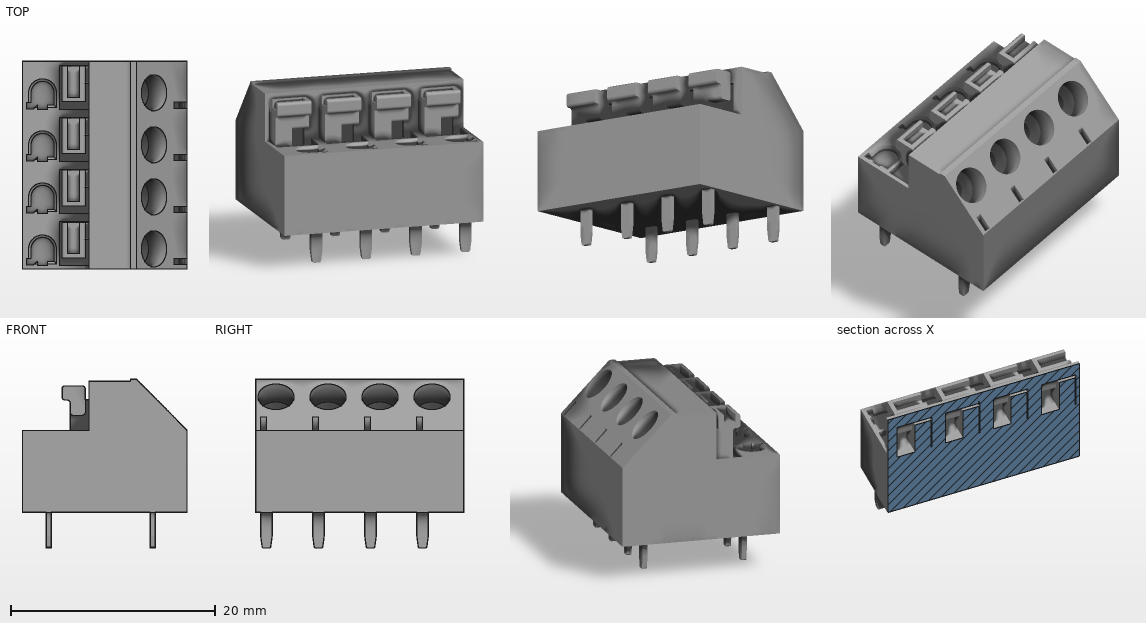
import cadquery as cq
import math

pole_count = 4
pitch = 5.08
block_depth = 16.1
block_width = pole_count * pitch
ledge_height = 8.0
roof_height = 12.8
rib_height = 13.0
step_x = 6.5
rib_x = 10.55
slope_top_x = 11.15

button_front_x = 3.88
button_rear_x = 6.15
button_top_z = 12.35
button_bottom_z = 9.47
hook_bottom_z = 10.95
button_round = 0.3
button_near_y = 0.50
button_far_y = 3.97
dish_front_x = 4.42
dish_rear_x = 5.58
dish_far_y = 3.54
dish_depth = 0.8

stem_front_x = 4.66
stem_top_z = 11.0
stem_far_y = 2.2

recess_depth = 0.7
recess_front_x = 3.64
recess_near_y = 0.42
recess_far_y = 4.73
slot_depth = 0.58
slot_far_y = 4.05
slot_top_z = 11.33

arch_x = 1.98
arch_y = 3.10
arch_radius = 1.36
arch_chamfer = 0.24
arch_end_y = 4.55
chamfer_angle = 45
arch_pocket_depth = 0.6
centre_notch_x = 1.49
centre_notch_length = 0.98
centre_notch_end_y = 4.73
side_notch_x = 0.39
side_notch_y = 4.04
side_notch_end_y = 4.67
side_notch_end_x = 1.08

entry_diameter = 3.52
bore_diameter = 2.02
entry_x = 12.86
entry_depth = 2.5
entry_cone_depth = 0.75
bore_depth = 2.0

probe_front_x = 14.82
probe_floor_end_x = 15.3
probe_rim_x = 15.86
probe_floor_z = 6.8
probe_rim_z = 7.92
probe_y = 4.32
probe_width = 0.6

pin_row_spacing = 10.16
pin_front_x = 2.58
pin_xs = (pin_front_x, pin_front_x + pin_row_spacing)
pin_y = 4.03
pin_thickness = 0.5
pin_width = 1.15
pin_tip_width = 0.85
pin_length = 3.5
pin_taper_length = 1.2
pin_tip_chamfer = 0.1
pin_root = 1.0

slope_run = block_depth - slope_top_x
slope_drop = rib_height - ledge_height
slope_angle = math.atan2(slope_drop, slope_run)
recess_floor_z = ledge_height - recess_depth
slot_rear_x = step_x + slot_depth


def slope_z(x):
    """Height of the rear slope at a given X."""
    return rib_height - (x - slope_top_x) * slope_drop / slope_run


def pole_box(border_y, x0, x1, near_y, far_y, z0, z1):
    """Box whose Y limits are distances from the +Y border of a pole."""
    corner = (x0, border_y - far_y, z0)
    return cq.Workplane("XY").box(x1 - x0, far_y - near_y, z1 - z0, centered=False).translate(corner)


def slope_plane(x, y):
    """Plane on the slope: local x runs downhill and the normal points outward."""
    return cq.Plane(
        origin=(x, y, slope_z(x)),
        xDir=(math.cos(slope_angle), 0, -math.sin(slope_angle)),
        normal=(math.sin(slope_angle), 0, math.cos(slope_angle)),
    )


def make_block():
    """Housing: side outline carried across the full width."""
    outline = [
        (0, 0),
        (block_depth, 0),
        (block_depth, ledge_height),
        (slope_top_x, rib_height),
        (rib_x, rib_height),
        (rib_x, roof_height),
        (step_x, roof_height),
        (step_x, ledge_height),
        (0, ledge_height),
    ]
    return cq.Workplane("XZ").polyline(outline).close().extrude(block_width / 2, both=True)


def make_stem_recess(border_y):
    """Recess in the ledge plus the slot in the wall behind the stem."""
    recess = pole_box(border_y, recess_front_x, step_x, recess_near_y, recess_far_y,
                      recess_floor_z, ledge_height)
    slot = pole_box(border_y, step_x, slot_rear_x, recess_near_y, slot_far_y, recess_floor_z, slot_top_z)
    return recess.union(slot)


def make_button(border_y):
    """Hooked push button with an open dish in its top, on its stem."""
    outline = [
        (stem_front_x, button_bottom_z),
        (button_rear_x, button_bottom_z),
        (button_rear_x, button_top_z),
        (button_front_x, button_top_z),
        (button_front_x, hook_bottom_z),
        (stem_front_x, hook_bottom_z),
    ]
    head = (
        cq.Workplane("XZ", origin=(0, border_y - button_near_y, 0))
        .polyline(outline)
        .close()
        .extrude(button_far_y - button_near_y)
        .edges("|Y")
        .fillet(button_round)
    )
    dish = pole_box(border_y, dish_front_x, dish_rear_x, button_near_y, dish_far_y,
                    button_top_z - dish_depth, button_top_z)
    stem = pole_box(border_y, stem_front_x, slot_rear_x, button_near_y, stem_far_y,
                    recess_floor_z, stem_top_z)
    return head.union(stem).cut(dish)


def make_arch_pocket(border_y):
    """Arched pocket with a chamfered mouth and two notches at its flat end."""
    inner_radius = arch_radius - arch_chamfer

    def arch(z, radius, end_y):
        return (
            cq.Workplane("XY", origin=(arch_x, border_y - arch_y, z))
            .moveTo(-radius, 0)
            .threePointArc((0, radius), (radius, 0))
            .lineTo(radius, arch_y - end_y)
            .lineTo(-radius, arch_y - end_y)
            .close()
        )

    floor_z = ledge_height - arch_pocket_depth
    inner_end_y = arch_end_y - arch_chamfer
    well = arch(floor_z, inner_radius, inner_end_y).extrude(arch_pocket_depth)
    mouth = arch(ledge_height, arch_radius, arch_end_y).extrude(-arch_chamfer, taper=chamfer_angle)
    centre_notch = pole_box(border_y, centre_notch_x, centre_notch_x + centre_notch_length,
                            arch_y, centre_notch_end_y, floor_z, ledge_height)
    side_notch = (
        cq.Workplane("XY", origin=(0, border_y, floor_z))
        .moveTo(side_notch_x, -side_notch_y)
        .lineTo(side_notch_x, -side_notch_end_y)
        .lineTo(side_notch_end_x, -side_notch_end_y)
        .lineTo(centre_notch_x, -inner_end_y)
        .lineTo(arch_x, -side_notch_y)
        .close()
        .extrude(arch_pocket_depth)
    )
    return well.union(mouth).union(centre_notch).union(side_notch)


def make_wire_entry(border_y):
    """Round funnel: wide bore, cone, then narrow bore."""
    entry_radius = entry_diameter / 2
    bore_radius = bore_diameter / 2
    cone_end = entry_depth + entry_cone_depth
    half_section = [
        (0, entry_radius),
        (entry_radius, entry_radius),
        (entry_radius, -entry_depth),
        (bore_radius, -cone_end),
        (bore_radius, -cone_end - bore_depth),
        (0, -cone_end - bore_depth),
    ]
    surface = slope_plane(entry_x, border_y - arch_y)
    profile_plane = cq.Plane(origin=surface.origin, xDir=surface.xDir, normal=-surface.yDir)
    return cq.Workplane(profile_plane).polyline(half_section).close().revolve(360, (0, 0), (0, 1))


def make_probe_slot(border_y):
    """Narrow slot with a steep rear flank and a low rim along the rear face."""
    mouth_z = slope_z(probe_front_x)
    outline = [
        (probe_front_x, mouth_z),
        (probe_front_x, probe_floor_z),
        (probe_floor_end_x, probe_floor_z),
        (probe_rim_x, probe_rim_z),
        (block_depth, ledge_height),
        (block_depth, mouth_z),
    ]
    return (
        cq.Workplane("XZ", origin=(0, border_y - probe_y, 0))
        .polyline(outline)
        .close()
        .extrude(probe_width / 2, both=True)
    )


def make_pin(x, y):
    """Flat solder pin with a tapered, chamfered tip."""
    half_width = pin_width / 2
    half_tip = pin_tip_width / 2
    taper_z = pin_taper_length - pin_length
    outline = [
        (-half_width, pin_root),
        (-half_width, taper_z),
        (-half_tip, pin_tip_chamfer - pin_length),
        (pin_tip_chamfer - half_tip, -pin_length),
        (half_tip - pin_tip_chamfer, -pin_length),
        (half_tip, pin_tip_chamfer - pin_length),
        (half_width, taper_z),
        (half_width, pin_root),
    ]
    return (
        cq.Workplane("YZ", origin=(x, y, 0))
        .polyline(outline)
        .close()
        .extrude(pin_thickness / 2, both=True)
    )


result = make_block()
for pole in range(pole_count):
    border = block_width / 2 - pole * pitch
    result = result.cut(make_stem_recess(border))
    result = result.cut(make_arch_pocket(border))
    result = result.cut(make_wire_entry(border))
    result = result.cut(make_probe_slot(border))
    result = result.union(make_button(border))
    for pin_x in pin_xs:
        result = result.union(make_pin(pin_x, border - pin_y))